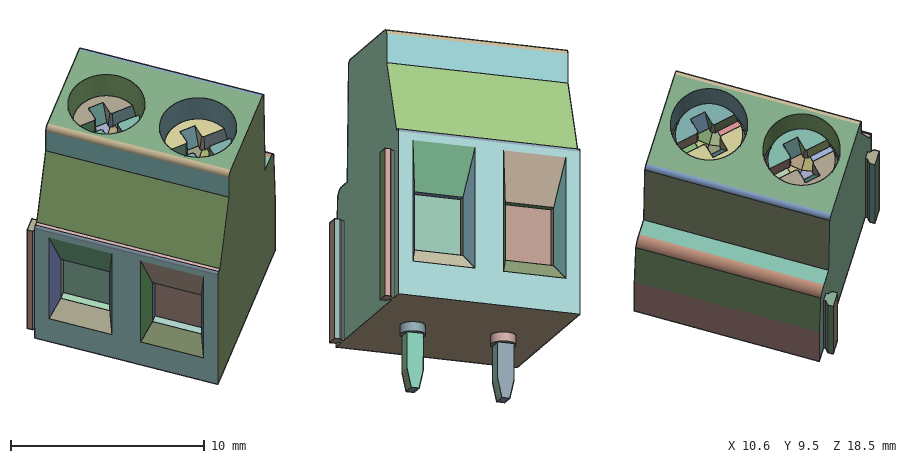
import cadquery as cq
import math

overall_height = 18.5

width = 9.99
depth = 9.5
height = 15.0
front_y = -depth / 2
back_y = depth / 2

ledge_inner_y = -4.42
ledge_z = 9.03
ledge_radius = 0.2
tower_front_y = -2.95
tower_slope_top_z = 13.14
tower_back_y = 2.85
tower_foot_y = 3.05
tower_front_radius = 0.3
tower_back_radius = 0.31
shelf_z = 8.47
shelf_edge_y = 4.5
shelf_radius = 0.63
round_turn = 70
front_lean = -90
back_slope_foot_z = 4.0

pole_count = 2
pitch = 5.0
pole_xs = [(i - (pole_count - 1) / 2) * pitch for i in range(pole_count)]

mouth_width = 3.42
mouth_bottom_z = 1.87
mouth_top_z = 8.44
throat_width = 2.66
throat_bottom_z = 2.75
throat_top_z = 5.92
funnel_depth = 0.8
throat_depth = 0.4

rib_head_width = 0.8
rib_neck_width = 0.4
rib_neck_length = 0.11
rib_flare_length = 0.17
rib_head_length = 0.3
rib_places = [(-3.87, 8.01), (3.75, 6.51)]

screw_y = -0.46
well_radius = 2.0
well_depth = 2.5
head_height = 1.1
head_top_radius = 1.74
head_foot_radius = 1.92
head_top_z = height - well_depth + head_height

slot_angle = 45
core_angle = 45
slot_depth = 1.0
slot_top_width = 0.7
slot_floor_width = 0.63
cross_length = 2.45
cross_top_width = 0.85
cross_floor_width = 0.72
core_width = 1.22
point_width = 1.33
point_depth = 0.4

collar_diameter = 1.33
collar_height = 0.5
pin_width = 0.9
pin_thickness = 0.8
pin_length = overall_height - height
pin_tip_width = 0.45
pin_taper_length = 1.02


def point_on_round(centre, radius, lean):
    """Point on a circle in the YZ plane, leaning from straight up by the given angle toward +Y."""
    angle = math.radians(lean)
    return (centre[0] + radius * math.sin(angle), centre[1] + radius * math.cos(angle))


def add_round(path, centre, radius, start_lean, end_lean):
    """Continue a path with a line to the start of a round, then along the round."""
    path = path.lineTo(*point_on_round(centre, radius, start_lean))
    middle = point_on_round(centre, radius, (start_lean + end_lean) / 2)
    return path.threePointArc(middle, point_on_round(centre, radius, end_lean))


def make_block():
    creased_reach = math.sin(math.radians(round_turn))
    shelf_centre = (shelf_edge_y - shelf_radius * creased_reach, shelf_z - shelf_radius)
    tower_back_centre = (tower_back_y - tower_back_radius * creased_reach, height - tower_back_radius)
    tower_front_centre = (tower_front_y + tower_front_radius, height - tower_front_radius)
    ledge_centre = (front_y + ledge_radius, ledge_z - ledge_radius * creased_reach)

    outline = cq.Workplane("YZ").moveTo(front_y, 0).lineTo(back_y, 0).lineTo(back_y, back_slope_foot_z)
    outline = add_round(outline, shelf_centre, shelf_radius, round_turn, 0)
    outline = outline.lineTo(tower_foot_y, shelf_z)
    outline = add_round(outline, tower_back_centre, tower_back_radius, round_turn, 0)
    outline = add_round(outline, tower_front_centre, tower_front_radius, 0, front_lean)
    outline = outline.lineTo(tower_front_y, tower_slope_top_z).lineTo(ledge_inner_y, ledge_z)
    outline = add_round(outline, ledge_centre, ledge_radius, front_lean + round_turn, front_lean)
    return outline.close().extrude(width / 2, both=True)


def make_rib(centre_y, top_z):
    side_x = -width / 2
    flare_x = side_x - rib_neck_length
    head_x = flare_x - rib_flare_length
    tip_x = head_x - rib_head_length
    half_profile = [
        (side_x, rib_neck_width / 2),
        (flare_x, rib_neck_width / 2),
        (head_x, rib_head_width / 2),
        (tip_x, rib_head_width / 2),
    ]
    mirrored = [(x, -y) for x, y in reversed(half_profile)]
    rib = cq.Workplane("XY").polyline(half_profile + mirrored).close().extrude(top_z)
    return rib.translate((0, centre_y, 0))


def rectangle_wire(x_range, y, z_range):
    """Upright rectangle in the plane at the given Y."""
    left, right = x_range
    bottom, top = z_range
    corners = [(left, y, bottom), (right, y, bottom), (right, y, top), (left, y, top)]
    return cq.Wire.makePolygon([cq.Vector(*corner) for corner in corners], close=True)


def make_wire_opening(x):
    throat_y = front_y + funnel_depth
    end_y = throat_y + throat_depth
    mouth_xs = (x - mouth_width / 2, x + mouth_width / 2)
    throat_xs = (x - throat_width / 2, x + throat_width / 2)
    throat_zs = (throat_bottom_z, throat_top_z)
    mouth = rectangle_wire(mouth_xs, front_y, (mouth_bottom_z, mouth_top_z))
    throat_start = rectangle_wire(throat_xs, throat_y, throat_zs)
    throat_end = rectangle_wire(throat_xs, end_y, throat_zs)
    funnel = cq.Workplane(cq.Solid.makeLoft([mouth, throat_start], True))
    throat = cq.Workplane(cq.Solid.makeLoft([throat_start, throat_end], True))
    return funnel.union(throat)


def tapered_cut(top_size, floor_size):
    """Block from the head top (Z = 0) down to the slot floor, narrowing from one rectangle to the other."""
    return (
        cq.Workplane("XY")
        .rect(*top_size)
        .workplane(offset=-slot_depth)
        .rect(*floor_size)
        .loft(ruled=True)
    )


def upright_prism(size_x, size_y, drop):
    """Rectangular block from Z = 0 down by the given drop."""
    return cq.Workplane("XY").rect(size_x, size_y).extrude(-drop)


def make_pit():
    """Middle of the recess: a shaft with a four-sided point, trimmed to a cross with a wider core."""
    half = point_width / 2
    recess_depth = slot_depth + point_depth
    outline = [(-half, 0), (half, 0), (half, -slot_depth), (0, -recess_depth), (-half, -slot_depth)]
    wedge_along_y = cq.Workplane("XZ").polyline(outline).close().extrude(half, both=True)
    wedge_along_x = cq.Workplane("YZ").polyline(outline).close().extrude(half, both=True)

    arm_along_x = upright_prism(point_width, slot_floor_width, recess_depth)
    arm_along_y = upright_prism(cross_floor_width, point_width, recess_depth)
    core = upright_prism(core_width, core_width, recess_depth).rotate((0, 0, 0), (0, 0, 1), core_angle)
    footprint = arm_along_x.union(arm_along_y).union(core)
    return wedge_along_y.intersect(wedge_along_x).intersect(footprint)


def make_driver_recess():
    """Straight slot along X, a shorter cut across it with sloped ends, and the pointed pit."""
    slot_length = 2 * head_foot_radius
    slot = tapered_cut((slot_length, slot_top_width), (slot_length, slot_floor_width))
    cross = tapered_cut((cross_top_width, cross_length), (cross_floor_width, point_width))
    return slot.union(cross).union(make_pit())


def make_well():
    """Ring-shaped gap around a screw head and the open well above it; head top at Z = 0."""
    half_section = [
        (0, 0),
        (head_top_radius, 0),
        (head_foot_radius, -head_height),
        (well_radius, -head_height),
        (well_radius, well_depth - head_height),
        (0, well_depth - head_height),
    ]
    return cq.Workplane("XZ").polyline(half_section).close().revolve(360, (0, 0, 0), (0, 1, 0))


def make_housing():
    housing = make_block()
    for centre_y, top_z in rib_places:
        housing = housing.union(make_rib(centre_y, top_z))
    well = make_well()
    recess = make_driver_recess().rotate((0, 0, 0), (0, 0, 1), slot_angle)
    for x in pole_xs:
        head_top = (x, screw_y, head_top_z)
        housing = housing.cut(make_wire_opening(x))
        housing = housing.cut(well.translate(head_top)).cut(recess.translate(head_top))
    return housing


def make_pin(x):
    collar = cq.Workplane("XY").circle(collar_diameter / 2).extrude(-collar_height)
    blade_outline = [
        (-pin_width / 2, -collar_height),
        (pin_width / 2, -collar_height),
        (pin_width / 2, pin_taper_length - pin_length),
        (pin_tip_width / 2, -pin_length),
        (-pin_tip_width / 2, -pin_length),
        (-pin_width / 2, pin_taper_length - pin_length),
    ]
    blade = cq.Workplane("XZ").polyline(blade_outline).close().extrude(pin_thickness / 2, both=True)
    return collar.union(blade).translate((x, 0, 0))


housing = make_housing()
pins = [make_pin(x) for x in pole_xs]

result = cq.Compound.makeCompound([housing.val(), *[pin.val() for pin in pins]])